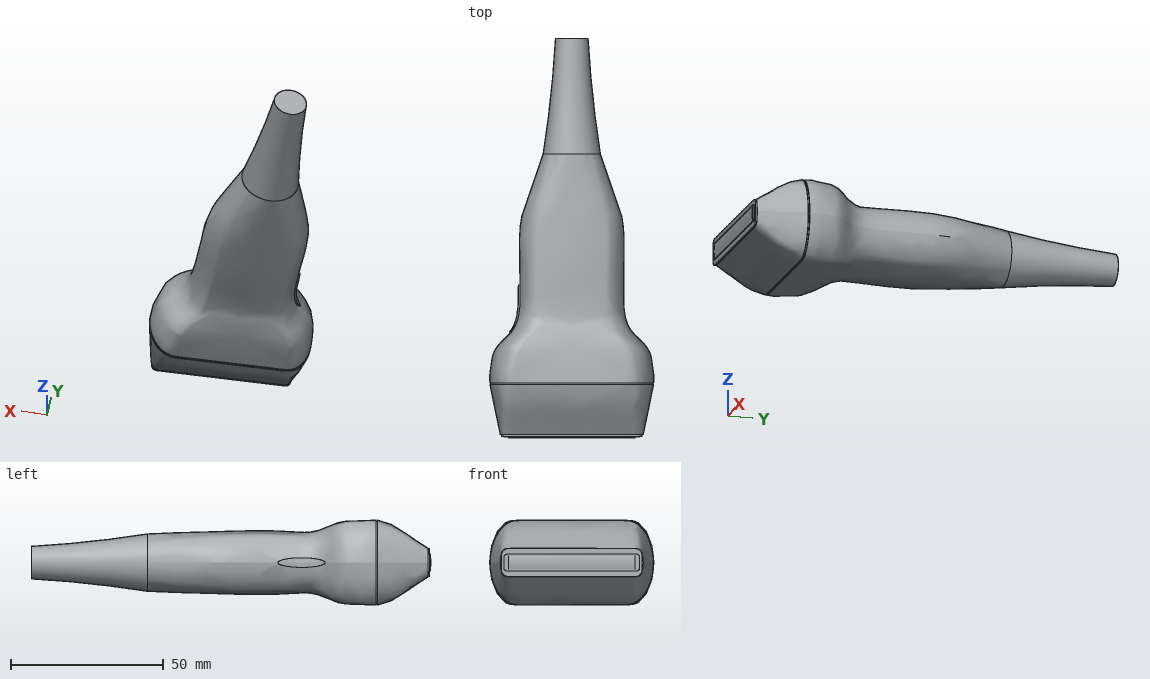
import cadquery as cq
import math

length = 131.0
boot_start = 93.0
seam_rear = 18.1
seam_front = 17.5
nose_tip = 1.0
rim_face = 0.5

boot_large_radius = 9.4
boot_mid_radius = 6.8
boot_mid_y = 113.0
boot_small_radius = 5.4

seam_half_width = 26.8
seam_half_height = 13.9
seam_half_flat = 18.3
seam_groove_depth = 0.3

quarter_steps = 8

handle_sections = [
    (boot_start, boot_large_radius, boot_large_radius, 0.0),
    (89.0, 10.9, 9.7, 1.0),
    (83.8, 12.7, 9.8, 2.6),
    (78.6, 14.5, 10.0, 4.2),
    (73.3, 16.2, 10.1, 5.9),
    (65.5, 17.2, 10.3, 7.2),
    (56.3, 17.0, 10.5, 7.2),
    (47.1, 17.0, 10.2, 7.2),
    (38.0, 18.1, 10.2, 9.2),
    (34.8, 19.8, 11.4, 11.1),
    (32.5, 22.1, 12.5, 13.7),
    (27.8, 25.7, 13.6, 17.0),
    (22.9, 26.6, 13.7, 18.3),
    (seam_rear, seam_half_width, seam_half_height, seam_half_flat),
]

nose_sections = [
    (seam_front, seam_half_width, seam_half_height, seam_half_flat),
    (13.4, 26.0, 12.7, 18.9),
    (9.8, 25.3, 10.6, 19.5),
    (5.2, 24.4, 7.5, 20.3),
    (nose_tip, 23.5, 4.7, 21.0),
]

mark_y = 42.4
mark_length = 15.5
mark_height = 3.1
mark_rise = 0.5

rim_half_width = 23.0
rim_half_height = 4.6
rim_corner = 1.8
pad_half_width = 22.3
pad_half_height = 2.7
pad_corner = 1.0
pad_face = 0.3
lens_half_width = 20.7
lens_half_height = 2.1


def quarter_point(fraction, half_width, half_height, half_flat):
    """X and Z at a fraction of the way from the side (0) to the top centre (1)."""
    end_width = half_width - half_flat
    arc_length = math.pi / 2 * math.sqrt((end_width**2 + half_height**2) / 2)
    travel = fraction * (arc_length + half_flat)
    if travel >= arc_length:
        return half_flat - (travel - arc_length), half_height
    angle = math.pi / 2 * travel / arc_length
    return half_flat + end_width * math.cos(angle), half_height * math.sin(angle)


def section_wire(y, half_width, half_height, half_flat):
    """A flat top and bottom with elliptical sides, as two splines meeting on the mid-plane."""
    quarter = [
        quarter_point(step / quarter_steps, half_width, half_height, half_flat)
        for step in range(quarter_steps + 1)
    ]
    outline = quarter + [(-x, z) for x, z in reversed(quarter[:-1])]
    steps = [float(step) for step in range(len(outline))]
    upper = cq.Edge.makeSpline([cq.Vector(x, y, z) for x, z in outline], parameters=steps)
    lower = cq.Edge.makeSpline([cq.Vector(-x, y, -z) for x, z in outline], parameters=steps)
    return cq.Wire.assembleEdges([upper, lower])


def loft(sections, growth=0.0):
    """Smooth solid through the sections, optionally enlarged all round."""
    wires = [section_wire(y, w + growth, h + growth, flat) for y, w, h, flat in sections]
    return cq.Workplane(cq.Solid.makeLoft(wires))


def rounded_slab(half_width, half_height, corner, y_front, y_rear):
    slab = cq.Workplane("XZ", origin=(0, y_rear, 0)).rect(2 * half_width, 2 * half_height)
    return slab.extrude(y_rear - y_front).edges("|Y").fillet(corner)


def make_boot():
    profile = (
        cq.Workplane("XY")
        .moveTo(0, boot_start)
        .lineTo(boot_large_radius, boot_start)
        .threePointArc((boot_mid_radius, boot_mid_y), (boot_small_radius, length))
        .lineTo(0, length)
        .close()
    )
    return profile.revolve(360, (0, 0, 0), (0, 1, 0))


def make_handle():
    body = loft(handle_sections)
    oval = (
        cq.Workplane("YZ", origin=(-seam_half_width, mark_y, 0))
        .ellipse(mark_length / 2, mark_height / 2)
        .extrude(seam_half_width)
    )
    mark = loft(handle_sections, mark_rise).intersect(oval)
    return body.union(mark)


def make_lens():
    return (
        cq.Workplane("YZ", origin=(-lens_half_width, 0, 0))
        .moveTo(pad_face, -lens_half_height)
        .threePointArc((0, 0), (pad_face, lens_half_height))
        .lineTo(nose_tip, lens_half_height)
        .lineTo(nose_tip, -lens_half_height)
        .close()
        .extrude(2 * lens_half_width)
    )


def make_nose():
    lip_wire = section_wire(
        seam_front,
        seam_half_width - seam_groove_depth,
        seam_half_height - seam_groove_depth,
        seam_half_flat,
    )
    lip_path = cq.Vector(0, seam_rear - seam_front, 0)
    lip = cq.Workplane(cq.Solid.extrudeLinear(lip_wire, [], lip_path))
    rim = rounded_slab(rim_half_width, rim_half_height, rim_corner, rim_face, nose_tip)
    pad = rounded_slab(pad_half_width, pad_half_height, pad_corner, pad_face, nose_tip)
    return loft(nose_sections).union(lip).union(rim).union(pad).union(make_lens())


boot = make_boot()
handle = make_handle()
nose = make_nose()

result = cq.Compound.makeCompound([*boot.solids().vals(), *handle.solids().vals(), *nose.solids().vals()])